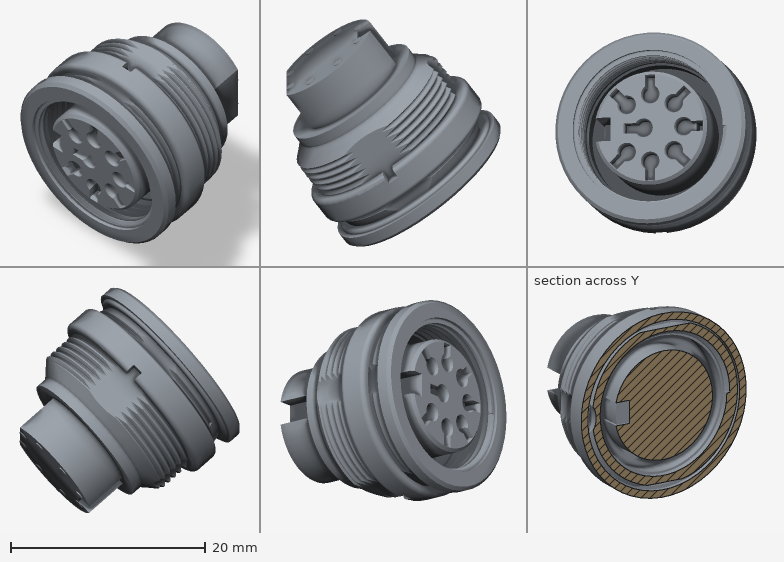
import cadquery as cq
import math


flange_back = 1.5
seat_back = 1.9
relief_back = 3.0
collar_front = 11.6
collar_back = 12.8

flange_radius = 20.0 / 2
flange_chamfer = 0.35
seat_face_radius = 18.3 / 2
seat_fillet = 0.33
collar_radius = 14.8 / 2
counterbore_radius = 16.2 / 2
counterbore_depth = 0.35
cavity_radius = 14.7 / 2
cavity_depth = 6.5

thread_pitch = 0.75
thread_flat = 0.1
thread_overcut = 0.1
outer_crest_radius = 9.0
outer_root_radius = 8.6
outer_thread_start = 2.65
outer_thread_end = 10.9
outer_start_angle = 203.0
inner_crest_radius = 15.2 / 2
inner_root_radius = 8.0
inner_thread_start = counterbore_depth
inner_thread_end = 4.1
inner_bore_end = 4.6

flat_height = 8.4
key_groove_floor = 8.2
key_groove_radius = 2.5

nut_front = 3.4
nut_back = 6.4
nut_radius = 20.0 / 2
nut_bore_radius = 8.75
nut_recess_radius = 18.3 / 2
nut_recess_depth = 1.0
nut_fillet = 0.48
nut_slot_width = 1.2
nut_slot_depth = 1.0

insert_radius = 5.93
insert_front = 0.2
insert_back = 17.45
insert_chamfer = 0.33
insert_flat = 4.81
keyway_width = 2.46
keyway_floor = 4.18
keyway_depth = 4.0
keyway_relief_radius = 5.66

contact_circle_radius = 3.5
contact_angles = [-135, -90, -45, 0, 45, 90, 135]
center_contact_offset = 0.7
center_slot_end = 2.7
contact_hole_diameter = 1.76
mouth_taper_width = 0.1
mouth_taper_depth = 0.3
contact_depth = 1.3
contact_slot_width = 1.06
contact_slot_end = 5.45
deep_slot_start = 4.62
deep_slot_depth = 3.0

pad_height = 0.1
pad_diameter = 1.0
pad_circle_radius = 4.65
pad_count = 8


def revolve(points):
    """Turn a closed (radius, Y) outline about the Y axis."""
    return cq.Workplane("XY").polyline(points).close().revolve(360, (0, 0, 0), (0, 1, 0))


def cylinder(radius, front, back, x=0.0, z=0.0):
    """Solid cylinder parallel to Y."""
    return cq.Workplane("XZ", origin=(x, front, z)).circle(radius).extrude(front - back)


def block(x_range, y_range, z_range):
    """Box given by its limits along each axis."""
    sizes = [high - low for low, high in (x_range, y_range, z_range)]
    corner = (x_range[0], y_range[0], z_range[0])
    return cq.Workplane("XY", origin=corner).box(*sizes, centered=False)


def thread_cutter(crest_radius, root_radius, start, end, start_angle):
    """Right-hand V groove along Y, cut from the crest radius to the root radius."""
    slope = (thread_pitch - 2 * thread_flat) / 2 / (root_radius - crest_radius)
    mouth_radius = crest_radius - math.copysign(thread_overcut, root_radius - crest_radius)
    root_half = thread_flat / 2
    mouth_half = root_half + abs(slope * (root_radius - mouth_radius))
    path = cq.Wire.makeHelix(thread_pitch, end - start, crest_radius)
    groove = (
        cq.Workplane("XZ")
        .polyline([
            (root_radius, -root_half),
            (root_radius, root_half),
            (mouth_radius, mouth_half),
            (mouth_radius, -mouth_half),
        ])
        .close()
        .sweep(cq.Workplane(path), isFrenet=True)
    )
    turned = groove.rotate((0, 0, 0), (0, 0, 1), start_angle)
    return turned.rotate((0, 0, 0), (1, 0, 0), -90).translate((0, start, 0))


def make_housing():
    """Flange, rounded seat and threaded barrel with its rear cone and collar."""
    flange = cylinder(flange_radius, 0, flange_back).faces("<Y").edges().chamfer(flange_chamfer)
    seat = cylinder(seat_face_radius + seat_fillet, flange_back, seat_back)
    seat = seat.faces(">Y").edges().fillet(seat_fillet)
    cone_start = collar_front - (outer_crest_radius - collar_radius)
    barrel = revolve([
        (0, seat_back),
        (outer_root_radius, seat_back),
        (outer_crest_radius, relief_back),
        (outer_crest_radius, cone_start),
        (collar_radius, collar_front),
        (collar_radius, collar_back),
        (0, collar_back),
    ])
    barrel = barrel.cut(thread_cutter(
        outer_crest_radius, outer_root_radius, outer_thread_start, outer_thread_end, outer_start_angle,
    ))
    return flange.union(seat).union(cut_barrel_sides(barrel))


def cut_barrel_sides(barrel):
    """Flatten the barrel at +Z and -Z and run the key groove along its -X side."""
    reach = outer_crest_radius + thread_overcut
    slab = block((-reach, reach), (seat_back, collar_back), (-flat_height, flat_height))
    groove_center = -(key_groove_floor + key_groove_radius)
    groove = cylinder(key_groove_radius, seat_back, collar_front, x=groove_center)
    return barrel.intersect(slab.cut(groove))


def cut_cavity(housing):
    """Open the mating face with a counterbore, a threaded bore and a smooth end."""
    housing = housing.cut(cylinder(counterbore_radius, 0, counterbore_depth))
    housing = housing.cut(cylinder(inner_crest_radius, 0, inner_bore_end))
    housing = housing.cut(cylinder(cavity_radius, 0, cavity_depth))
    return housing.cut(thread_cutter(
        inner_crest_radius, inner_root_radius, inner_thread_start, inner_thread_end, 0,
    ))


def make_nut():
    """Rounded ring nut with a front recess and two spanner slots across its rear face."""
    nut = cylinder(nut_radius, nut_front, nut_back).edges().fillet(nut_fillet)
    nut = nut.cut(cylinder(nut_bore_radius, nut_front, nut_back))
    nut = nut.cut(cylinder(nut_recess_radius, nut_front, nut_front + nut_recess_depth))
    half = nut_slot_width / 2
    return nut.cut(block((-half, half), (nut_back - nut_slot_depth, nut_back), (-nut_radius, nut_radius)))


def make_insert():
    """Cylindrical core with a keyway at each end on the -X side and a rear flat on +X."""
    insert = cylinder(insert_radius, insert_front, insert_back)
    insert = insert.faces("<Y").edges().chamfer(insert_chamfer)
    half = keyway_width / 2
    keyway_x = (-insert_radius, -keyway_floor)
    insert = insert.cut(block(keyway_x, (insert_front, insert_front + keyway_depth), (-half, half)))
    relief = block(keyway_x, (insert_front, cavity_depth), (-half, half))
    insert = insert.cut(relief.cut(cylinder(keyway_relief_radius, insert_front, cavity_depth)))
    insert = insert.cut(block(keyway_x, (collar_back, insert_back), (-half, half)))
    side = (-insert_radius, insert_radius)
    return insert.cut(block((insert_flat, insert_radius), (collar_back, insert_back), side))


def contact_hole(x):
    """Round hole with a slightly tapered mouth."""
    radius = contact_hole_diameter / 2
    floor = insert_front + contact_depth
    hole = revolve([
        (0, insert_front),
        (radius + mouth_taper_width, insert_front),
        (radius, insert_front + mouth_taper_depth),
        (radius, floor),
        (0, floor),
    ])
    return hole.translate((x, 0, 0))


def contact_slot(start_x, end_x, depth):
    """Slot running along X, with the mouth of its end wall tapered like the holes."""
    floor = insert_front + depth
    return (
        cq.Workplane("XY")
        .polyline([
            (start_x, insert_front),
            (end_x + mouth_taper_width, insert_front),
            (end_x, insert_front + mouth_taper_depth),
            (end_x, floor),
            (start_x, floor),
        ])
        .close()
        .extrude(contact_slot_width / 2, both=True)
    )


def keyhole(x, end_x):
    return contact_hole(x).union(contact_slot(x, end_x, contact_depth))


def turn(shape, angle):
    """Rotate a shape about the connector axis."""
    return shape.rotate((0, 0, 0), (0, 1, 0), angle)


def cut_contacts(insert):
    """Seven keyholes around the axis, one near the center, and a deeper slot end at +X."""
    cutter = keyhole(contact_circle_radius, contact_slot_end)
    for angle in contact_angles:
        insert = insert.cut(turn(cutter, angle))
    center = keyhole(center_contact_offset, center_slot_end)
    insert = insert.cut(turn(center, 180))
    return insert.cut(contact_slot(deep_slot_start, contact_slot_end, deep_slot_depth))


def add_pads(insert):
    """Evenly spaced pads, set half a step away from the X axis."""
    for index in range(pad_count):
        angle = (index + 0.5) * 2 * math.pi / pad_count
        x = pad_circle_radius * math.cos(angle)
        z = pad_circle_radius * math.sin(angle)
        insert = insert.union(cylinder(pad_diameter / 2, insert_back, insert_back + pad_height, x, z))
    return insert


insert = add_pads(cut_contacts(make_insert()))
result = cut_cavity(make_housing()).union(make_nut()).union(insert)